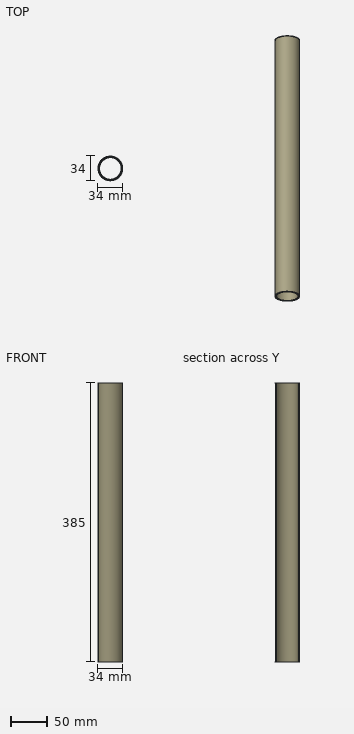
import cadquery as cq

outer_diameter = 34.0
wall_thickness = 2.0
length = 385.0
edge_break = 0.2

inner_diameter = outer_diameter - 2 * wall_thickness

tube = (
    cq.Workplane("XY")
    .circle(outer_diameter / 2)
    .circle(inner_diameter / 2)
    .extrude(length)
)

result = tube.faces("<Z").edges("%CIRCLE").chamfer(edge_break)